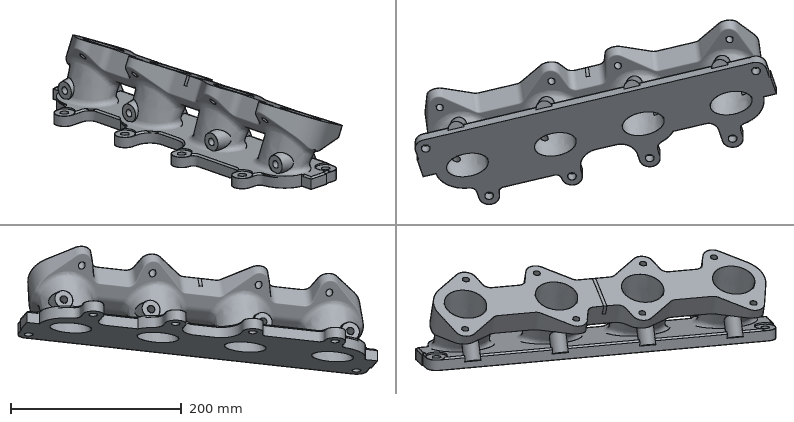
import cadquery as cq
import math


FLANGE_TILT = 24.4
FLANGE_CENTRE_Z = 72.84
FLANGE_BORES_X = (-164.1, -52.7, 52.7, 164.1)
FLANGE_PORT_R = 38.0
FLANGE_HALF_WIDTH = 24.8
EAR_OFFSET_X = 12.3
EAR_OFFSET_V = 42.7
EAR_R = 13.15
STUD_HOLE_D = 8.0
FLANGE_INNER_FILLET = 10.0
FLANGE_EDGE_T = 12.2
FLANGE_RIDGE_T = 36.0
FLANGE_RIDGE_HALF = 8.0
FLANGE_RIDGE_FILLET = 15.0
FLANGE_RIM_FILLET = 1.5
BORE_R = 25.0

RUNNER_WALL = 8.0
PLATE_PORTS_X = (-160.5, -53.5, 53.5, 160.5)
PORT_Y = -31.0
PORT_HALF_X = 25.0
PORT_HALF_Y = 16.0
RUNNER_FOOT_FILLET = 7.0
RUNNER_FOOT_PAD = 8.0
RUNNER_TOP_FILLET = 7.0

PLATE_T = 15.0
PLATE_BACK_Y = 17.3
PLATE_FRONT_Y = -51.2
PLATE_DEEP_FRONT_Y = -73.0
PLATE_CHAMFER = 2.2
LOBE_HALF_X = 39.0
LOBE_HALF_Y = 32.8
PLATE_EARS_X = (-148.2, -47.3, 47.3, 148.2)
PLATE_EAR_Y = -80.3
PLATE_EAR_R = 12.3
EAR_WEBS = ((0, 1, 12.0), (1, 1, 20.0), (2, -1, 25.0))
EAR_FILLETS = ((0, -1, 8.0), (1, -1, 12.0), (2, 1, 7.0), (3, -1, 7.0), (3, 1, 8.0))
END_EAR_X = 201.0
END_EAR_Y = 4.8
END_EAR_R = PLATE_BACK_Y - END_EAR_Y
PLATE_HOLE_D = 10.0
SPOT_FACE_DEPTH = 2.0
TAB_END_X = 430.04 / 2
TAB_BACK_Y = -7.8
TAB_FRONT_Y = -33.0

BOSS_OFFSET_X = 15.2
BOSS_FACE_Y = -52.7
BOSS_Z = 26.0
BOSS_R = 11.0
BOSS_DEPTH = 20.0
BOSS_TAPER = -10.0
BOSS_HOLE_D = 9.0

REAR_BOSS_R = 10.0
REAR_BOSS_END_Y = 15.9
REAR_BOSS_END_Z = 7.2
REAR_BOSS_LENGTH = 30.0

KEY_WIDTH = 4.0
KEY_HEIGHT = 12.5

TILT_SIN = math.sin(math.radians(FLANGE_TILT))
TILT_COS = math.cos(math.radians(FLANGE_TILT))
flange_plane = cq.Plane(
    origin=(0, 0, FLANGE_CENTRE_Z), xDir=(1, 0, 0), normal=(0, TILT_SIN, TILT_COS)
)


def polar(centre, radius, angle):
    return (centre[0] + radius * math.cos(angle), centre[1] + radius * math.sin(angle))


def flange_port(bore_x, side):
    """Round port pad drawn out to two opposite ears, as a tall prism."""
    bore = (bore_x, 0)
    ear_1 = (bore_x + side * EAR_OFFSET_X, EAR_OFFSET_V)
    ear_2 = (bore_x - side * EAR_OFFSET_X, -EAR_OFFSET_V)
    ear_distance = math.hypot(EAR_OFFSET_X, EAR_OFFSET_V)
    lean = math.atan2(EAR_OFFSET_V, side * EAR_OFFSET_X)
    spread = math.acos((FLANGE_PORT_R - EAR_R) / ear_distance)
    back = lean + math.pi
    return (
        cq.Workplane(flange_plane)
        .moveTo(*polar(bore, FLANGE_PORT_R, lean - spread))
        .lineTo(*polar(ear_1, EAR_R, lean - spread))
        .threePointArc(polar(ear_1, EAR_R, lean), polar(ear_1, EAR_R, lean + spread))
        .lineTo(*polar(bore, FLANGE_PORT_R, lean + spread))
        .threePointArc(
            polar(bore, FLANGE_PORT_R, lean + math.pi / 2),
            polar(bore, FLANGE_PORT_R, back - spread),
        )
        .lineTo(*polar(ear_2, EAR_R, back - spread))
        .threePointArc(polar(ear_2, EAR_R, back), polar(ear_2, EAR_R, back + spread))
        .lineTo(*polar(bore, FLANGE_PORT_R, back + spread))
        .threePointArc(
            polar(bore, FLANGE_PORT_R, lean - math.pi / 2),
            polar(bore, FLANGE_PORT_R, lean - spread),
        )
        .close()
        .extrude(-FLANGE_RIDGE_T)
    )


def ear_side(index):
    """The upper ears of each pair of ports lean away from each other."""
    return -1 if index % 2 == 0 else 1


def flange_body():
    bar_length = FLANGE_BORES_X[-1] - FLANGE_BORES_X[0]
    outline = (
        cq.Workplane(flange_plane)
        .rect(bar_length, 2 * FLANGE_HALF_WIDTH)
        .extrude(-FLANGE_RIDGE_T)
    )
    for index, bore_x in enumerate(FLANGE_BORES_X):
        outline = outline.union(flange_port(bore_x, ear_side(index)))

    corners = []
    for edge in outline.edges(cq.selectors.ParallelDirSelector(flange_plane.zDir)).vals():
        local = flange_plane.toLocalCoords(edge.Center())
        if abs(abs(local.y) - FLANGE_HALF_WIDTH) < 0.01:
            corners.append(edge)
    outline = outline.newObject(corners).fillet(FLANGE_INNER_FILLET)

    tip = EAR_OFFSET_V + 2 * EAR_R
    slope = (FLANGE_RIDGE_T - FLANGE_EDGE_T) / (EAR_OFFSET_V + EAR_R - FLANGE_RIDGE_HALF)
    tip_t = FLANGE_RIDGE_T - slope * (tip - FLANGE_RIDGE_HALF)
    wedge = (
        cq.Workplane(
            cq.Plane(origin=flange_plane.origin, xDir=flange_plane.yDir, normal=(1, 0, 0))
        )
        .polyline([
            (-tip, 0),
            (tip, 0),
            (tip, -tip_t),
            (FLANGE_RIDGE_HALF, -FLANGE_RIDGE_T),
            (-FLANGE_RIDGE_HALF, -FLANGE_RIDGE_T),
            (-tip, -tip_t),
        ])
        .close()
        .extrude(TAB_END_X, both=True)
    )
    flange = outline.intersect(wedge)
    ridges = []
    for edge in flange.edges("|X").vals():
        if flange_plane.toLocalCoords(edge.Center()).z < 0.1 - FLANGE_RIDGE_T:
            ridges.append(edge)
    flange = flange.newObject(ridges).fillet(FLANGE_RIDGE_FILLET)
    return round_underside(flange)


def round_underside(flange):
    """Rounds the rim where the side walls meet the underside."""
    times_met = {}
    for face in flange.faces().vals():
        normal = face.normalAt()
        if normal.dot(flange_plane.zDir) < -0.5:
            for edge in face.Edges():
                times_met.setdefault(edge, []).append(face)
    rim = [edge for edge, faces in times_met.items() if len(faces) == 1]
    return flange.newObject(rim).fillet(FLANGE_RIM_FILLET)


def plate_outline(height):
    """The plate's outline as a plain prism of the given height."""
    def box(x_min, x_max, y_min, y_max):
        return (
            cq.Workplane("XY")
            .center((x_min + x_max) / 2, (y_min + y_max) / 2)
            .rect(x_max - x_min, y_max - y_min)
            .extrude(height)
        )

    def disc(x, y, radius):
        return cq.Workplane("XY").center(x, y).circle(radius).extrude(height)

    end_x = END_EAR_X + END_EAR_R
    outline = box(-TAB_END_X, TAB_END_X, TAB_FRONT_Y, TAB_BACK_Y)
    outline = outline.union(box(-end_x, end_x, TAB_BACK_Y, END_EAR_Y))
    outline = outline.union(box(-END_EAR_X, END_EAR_X, END_EAR_Y, PLATE_BACK_Y))
    outline = outline.union(box(PLATE_PORTS_X[0], PLATE_PORTS_X[-1], PLATE_FRONT_Y, TAB_FRONT_Y))
    outline = outline.union(box(PLATE_EARS_X[-2], PLATE_EARS_X[-1], PLATE_DEEP_FRONT_Y, TAB_FRONT_Y))
    for x in (-END_EAR_X, END_EAR_X):
        outline = outline.union(disc(x, END_EAR_Y, END_EAR_R))
    for x in PLATE_PORTS_X:
        lobe = cq.Workplane("XY").center(x, PORT_Y).ellipse(LOBE_HALF_X, LOBE_HALF_Y).extrude(height)
        outline = outline.union(lobe)
    for x in PLATE_EARS_X:
        outline = outline.union(box(x - PLATE_EAR_R, x + PLATE_EAR_R, PLATE_EAR_Y, PORT_Y))
        outline = outline.union(disc(x, PLATE_EAR_Y, PLATE_EAR_R))

    for ear, side, radius in EAR_WEBS:
        corner_x = PLATE_EARS_X[ear] + side * PLATE_EAR_R
        inset = radius * (1 - math.sqrt(0.5))
        web = (
            cq.Workplane("XY")
            .moveTo(corner_x, PLATE_FRONT_Y)
            .lineTo(corner_x + side * radius, PLATE_FRONT_Y)
            .threePointArc(
                (corner_x + side * inset, PLATE_FRONT_Y - inset),
                (corner_x, PLATE_FRONT_Y - radius),
            )
            .close()
            .extrude(height)
        )
        outline = outline.union(web)
    for ear, side, radius in EAR_FILLETS:
        corner_x = PLATE_EARS_X[ear] + side * PLATE_EAR_R
        root = cq.selectors.BoxSelector(
            (corner_x - 0.1, PLATE_EAR_Y + 1, 0.1), (corner_x + 0.1, PORT_Y, height - 0.1)
        )
        outline = outline.edges(root).fillet(radius)
    return outline


def plate_body():
    return plate_outline(PLATE_T).faces(">Z").edges().chamfer(PLATE_CHAMFER)


def plate_bolts():
    """Bolt holes with their shallow spot faces, as cutting tools."""
    spots = [(x, PLATE_EAR_Y, PLATE_EAR_R) for x in PLATE_EARS_X]
    spots += [(x, END_EAR_Y, END_EAR_R) for x in (-END_EAR_X, END_EAR_X)]
    tools = []
    for x, y, ear_r in spots:
        hole = cq.Workplane("XY").center(x, y).circle(PLATE_HOLE_D / 2).extrude(PLATE_T)
        spot_face = (
            cq.Workplane("XY")
            .workplane(offset=PLATE_T - SPOT_FACE_DEPTH)
            .center(x, y)
            .circle(ear_r)
            .extrude(SPOT_FACE_DEPTH)
        )
        tools.append(hole.union(spot_face).val())
    return tools


def runner_loft(bore_x, port_x, growth, top_w, foot_z):
    """Loft from a circle parallel to the flange down to an ellipse at the plate."""
    circle_centre = flange_plane.toWorldCoords((bore_x, 0, top_w))
    top = cq.Wire.makeCircle(BORE_R + growth, circle_centre, flange_plane.zDir)
    foot = cq.Wire.makeEllipse(
        PORT_HALF_X + growth, PORT_HALF_Y + growth,
        cq.Vector(port_x, PORT_Y, foot_z), cq.Vector(0, 0, 1), cq.Vector(1, 0, 0),
    )
    return cq.Workplane(obj=cq.Solid.makeLoft([foot, top], True))


def runner_tube(bore_x, port_x):
    return runner_loft(bore_x, port_x, RUNNER_WALL, -FLANGE_EDGE_T, PLATE_T - RUNNER_FOOT_FILLET)


def runner_passage(bore_x, port_x):
    return runner_loft(bore_x, port_x, 0, 0, 0)


def runner_foot(runner, port_x):
    """A runner on a flat pad, flared where the two meet."""
    spread = RUNNER_WALL + RUNNER_FOOT_PAD
    foot = (
        cq.Workplane("XY")
        .center(port_x, PORT_Y)
        .ellipse(PORT_HALF_X + spread, PORT_HALF_Y + spread)
        .extrude(PLATE_T)
        .union(runner)
    )
    root_edges = []
    for edge in foot.edges().vals():
        box = edge.BoundingBox()
        inside = box.xmax < port_x + PORT_HALF_X + RUNNER_WALL + 1
        if inside and box.zmin > PLATE_T - 0.01 and box.zmax < PLATE_T + 0.01:
            root_edges.append(edge)
    return foot.newObject(root_edges).fillet(RUNNER_FOOT_FILLET)


def blend_runner(flange, runner, bore_x):
    """Joins a runner to the flange with a fillet where it meets the underside."""
    joined = flange.union(runner)
    reach = BORE_R + RUNNER_WALL + 3
    roots = []
    for edge in joined.edges().vals():
        near = []
        for share in (0.1, 0.5, 0.9):
            spot = flange_plane.toLocalCoords(edge.positionAt(share))
            in_depth = -FLANGE_RIDGE_T - 1 < spot.z < -FLANGE_EDGE_T - 1
            near.append(in_depth and math.hypot(spot.x - bore_x, spot.y) < reach)
        if all(near):
            roots.append(edge)
    return joined.newObject(roots).fillet(RUNNER_TOP_FILLET)


def front_boss(x):
    return (
        cq.Workplane("XZ", origin=(x, BOSS_FACE_Y, BOSS_Z))
        .circle(BOSS_R)
        .extrude(-BOSS_DEPTH, taper=BOSS_TAPER)
    )


def front_boss_hole(x):
    return (
        cq.Workplane("XZ", origin=(x, BOSS_FACE_Y, BOSS_Z))
        .circle(BOSS_HOLE_D / 2)
        .extrude(-BOSS_DEPTH)
    )


def rear_boss(x):
    """Round boss leaning forward from the back of a runner."""
    base = cq.Plane(
        origin=(x, REAR_BOSS_END_Y, REAR_BOSS_END_Z),
        xDir=(1, 0, 0),
        normal=(0, -TILT_SIN, TILT_COS),
    )
    return cq.Workplane(base).circle(REAR_BOSS_R).extrude(REAR_BOSS_LENGTH)


def boss_side(index):
    """Front bosses sit to the left on the first two ports and to the right on the others."""
    return -1 if index < len(PLATE_PORTS_X) / 2 else 1


def key_body():
    return (
        cq.Workplane(flange_plane)
        .rect(KEY_WIDTH, 2 * FLANGE_HALF_WIDTH)
        .extrude(-KEY_HEIGHT)
    )


def stud_holes():
    places = []
    for index, bore_x in enumerate(FLANGE_BORES_X):
        for end in (-1, 1):
            places.append((bore_x + end * ear_side(index) * EAR_OFFSET_X, end * EAR_OFFSET_V))
    return (
        cq.Workplane(flange_plane)
        .pushPoints(places)
        .circle(STUD_HOLE_D / 2)
        .extrude(-FLANGE_RIDGE_T)
    )


def manifold_body():
    body = flange_body()
    feet = []
    bosses = []
    cuts = plate_bolts() + stud_holes().vals()
    for index, (bore_x, port_x) in enumerate(zip(FLANGE_BORES_X, PLATE_PORTS_X)):
        runner = runner_tube(bore_x, port_x)
        body = blend_runner(body, runner, bore_x)
        feet.append(runner_foot(runner, port_x).val())

        boss_x = port_x + boss_side(index) * BOSS_OFFSET_X
        bosses += [front_boss(boss_x).val(), rear_boss(port_x).val()]
        cuts += [runner_passage(bore_x, port_x).val(), front_boss_hole(boss_x).val()]

    clip = plate_outline(PLATE_T + 2 * RUNNER_FOOT_FILLET).val()
    clipped_feet = cq.Compound.makeCompound(feet).intersect(clip).Solids()
    solid = body.val().fuse(plate_body().val(), *clipped_feet, *bosses).cut(*cuts)
    return cq.Workplane(obj=solid)


key = key_body()
manifold = manifold_body().cut(key)

result = cq.Compound.makeCompound([manifold.val(), key.val()])